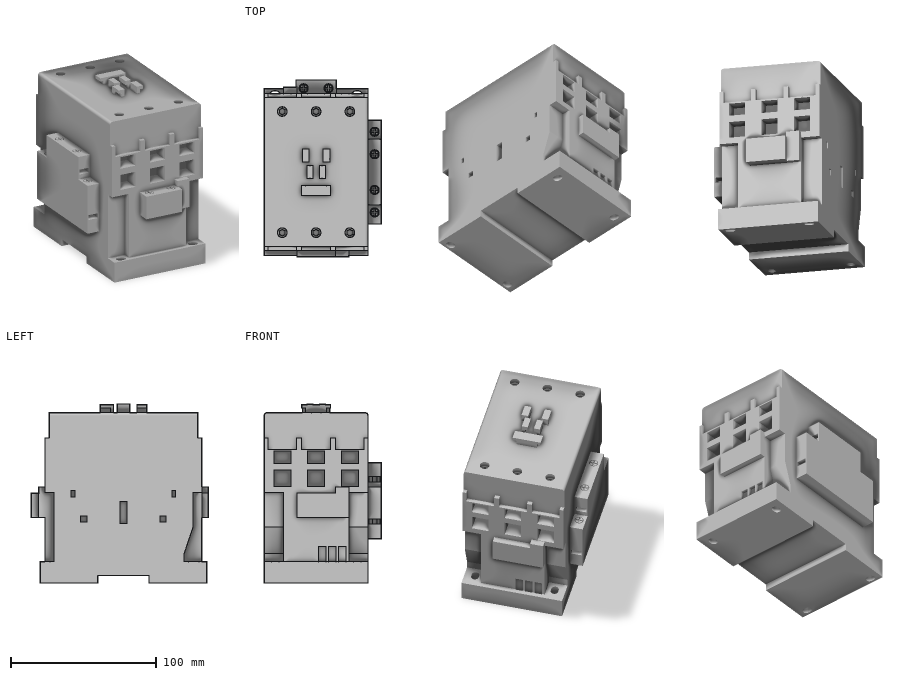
import cadquery as cq
body_width = 71.6
side_x = body_width / 2
base_length = 115.0
base_height = 14.8
body_length = 108.2
front_y = body_length / 2
cover_length = 102.5
cover_y = cover_length / 2
cover_top = 117.4
cover_fillet = 2.0

rail_width = 35.2
rail_depth = 5.1

ledge_top = 92.0
rib_top = 100.1
pole_pitch = 23.3
fence_gap = 19.8

recess_top = 62.4
recess_width = 13.2
recess_depth = 6.1
slope_top = 38.6
slope_bottom = 20.4
foot_recess_depth = 12.2

mount_slot_width = 5.2
mount_slot_length = 7.0
mount_x = 28.3
front_mount_y = 48.5
back_mount_y = 53.3

window_width = 11.7
upper_window = (82.4, 91.0)
lower_window = (66.6, 77.8)
window_depth = 12.0

terminal_y = 41.75
terminal_hole_diameter = 6.6
terminal_hole_depth = 3.75
socket_across_flats = 4.0
socket_depth = 2.0

coil_outer_x = side_x - recess_width
coil_inner_x = 13.3
coil_bottom = 45.1
coil_top = 61.9
coil_tab_top = 66.2
coil_plate_y = 58.5

coil_terminal_half_width = 14.0
coil_terminal_y = 63.6
coil_screw_x = 8.55
coil_screw_y = 57.8

overall_width = 80.8
aux_width = overall_width - body_width
aux_length = 71.8
aux_upper_length = 45.3
aux_bottom = 30.5
aux_step = 66.2
aux_top = 82.9
aux_lower_screw_y = 27.8
aux_upper_screw_y = 12.3
aux_window_width = 7.5
aux_window_height = 3.6
aux_upper_window_z = 71.5
aux_lower_window_z = 42.4
aux_shaft_diameter = 3.3

head_gap_diameter = 6.2
head_diameter = 5.2
head_gap_depth = 2.0
cross_length = 4.8
cross_width = 1.1
cross_depth = 1.0

pocket_depth = 5.0
upper_pocket_y = 34.7
upper_pocket_z = 61.5
upper_pocket_width = 2.6
lower_pocket_y = 27.3
lower_pocket_z = 44.2
lower_pocket_width = 4.3
pocket_height = 4.3
middle_pocket_z = 48.6
middle_pocket_width = 4.8
middle_pocket_height = 14.9

grip_centre_x = 11.2
grip_pitch = 6.85
grip_width = 5.3
grip_top = 25.0
grip_depth = 2.5
grip_reach = 0.5
grip_sink = 3.0
grip_bottom = base_height - grip_sink

piece_top = 123.0
overhang_bottom = 120.6
bridge_half_width = 10.0
bridge_stem_half_width = 7.3
bridge_front_y = -16.2
bridge_back_y = -9.3
slider_top = 123.55
slider_inner_x = 2.2
slider_stem_inner_x = 4.2
slider_outer_x = 6.4
slider_half_length = 4.4
catch_inner_x = 4.8
catch_stem_outer_x = 7.3
catch_outer_x = 9.5
catch_front_y = 6.8
catch_stem_back_y = 9.0
catch_back_y = 16.0


def box(x_range, y_range, z_range):
    """Axis-aligned block between the given limits."""
    (x0, x1), (y0, y1), (z0, z1) = (sorted(r) for r in (x_range, y_range, z_range))
    return cq.Workplane("XY").box(x1 - x0, y1 - y0, z1 - z0, centered=False).translate((x0, y0, z0))


def cylinder(diameter, x, y, z_range):
    """Upright cylinder between two heights."""
    bottom, top = z_range
    return cq.Workplane("XY").center(x, y).circle(diameter / 2).extrude(top - bottom).translate((0, 0, bottom))


def half_turn(shape):
    """Copy turned by 180 degrees about the Z axis."""
    return shape.rotate((0, 0, 0), (0, 0, 1), 180)


def make_housing():
    base = box((-side_x, side_x), (-base_length / 2, base_length / 2), (0, base_height))
    rail = box((-side_x, side_x), (-rail_width / 2, rail_width / 2), (0, rail_depth))
    body = box((-side_x, side_x), (-front_y, front_y), (base_height, ledge_top))
    cover = box((-side_x, side_x), (-cover_y, cover_y), (ledge_top, cover_top))
    cover = cover.edges("|Y and >Z").fillet(cover_fillet)
    return base.cut(rail).union(body).union(cover)


def make_fences():
    """Ribs that stand on the ledges in front of the cover, on both ends."""
    strip = box((-side_x, side_x), (-front_y, -cover_y), (ledge_top, rib_top))
    for pole in (-1, 0, 1):
        gap_centre = pole * pole_pitch
        gap_range = (gap_centre - fence_gap / 2, gap_centre + fence_gap / 2)
        strip = strip.cut(box(gap_range, (-front_y, -cover_y), (ledge_top, rib_top)))
    return strip.union(half_turn(strip))


def cut_corner_recesses(part):
    """Straight recesses at the back corners, and recesses that slope back above the feet at the front."""
    wall_y = front_y - recess_depth
    foot_y = front_y - foot_recess_depth
    front_profile = [
        (-front_y, base_height),
        (-foot_y, base_height),
        (-foot_y, slope_bottom),
        (-wall_y, slope_top),
        (-wall_y, recess_top),
        (-front_y, recess_top),
    ]
    for start_x in (-side_x, side_x - recess_width):
        x_range = (start_x, start_x + recess_width)
        front = cq.Workplane("YZ").polyline(front_profile).close().extrude(recess_width)
        back = box(x_range, (wall_y, front_y), (base_height, recess_top))
        part = part.cut(front.translate((start_x, 0, 0))).cut(back)
    return part


def cut_mounting_slots(part):
    """Rounded slots through the base: lengthwise at the front, crosswise at the back."""
    lengthwise = cq.Workplane("XY").slot2D(mount_slot_length, mount_slot_width, 90).extrude(base_height)
    crosswise = cq.Workplane("XY").slot2D(mount_slot_length, mount_slot_width, 0).extrude(base_height)
    for x in (-mount_x, mount_x):
        part = part.cut(lengthwise.translate((x, -front_mount_y, 0)))
        part = part.cut(crosswise.translate((x, back_mount_y, 0)))
    return part


def cut_terminals(part):
    """Wire windows in both ends and hexagon-socket screws in round holes under them."""
    for pole in (-1, 0, 1):
        x = pole * pole_pitch
        x_range = (x - window_width / 2, x + window_width / 2)
        for z_range in (upper_window, lower_window):
            window = box(x_range, (-front_y, -front_y + window_depth), z_range)
            part = part.cut(window).cut(half_turn(window))
        for y in (-terminal_y, terminal_y):
            head_top = cover_top - terminal_hole_depth
            part = part.cut(cylinder(terminal_hole_diameter, x, y, (head_top, cover_top)))
            socket = cq.Workplane("XY").polygon(6, socket_across_flats, circumscribed=True)
            socket = socket.extrude(socket_depth)
            part = part.cut(socket.translate((x, y, head_top - socket_depth)))
    return part


def make_coil_plate():
    """Plate on the front with a raised tab at its +X end."""
    y_range = (-coil_plate_y, -front_y)
    plate = box((-coil_inner_x, coil_outer_x), y_range, (coil_bottom, coil_top))
    tab = box((coil_inner_x, coil_outer_x), y_range, (coil_bottom, coil_tab_top))
    return plate.union(tab)


def cut_screw(part, x, y, top):
    """Annular gap around a cross-slotted screw head that lies flush with the surface."""
    gap_range = (top - head_gap_depth, top)
    gap = cylinder(head_gap_diameter, x, y, gap_range).cut(cylinder(head_diameter, x, y, gap_range))
    half_length = cross_length / 2
    half_width = cross_width / 2
    cross_range = (top - cross_depth, top)
    along_x = box((x - half_length, x + half_length), (y - half_width, y + half_width), cross_range)
    along_y = box((x - half_width, x + half_width), (y - half_length, y + half_length), cross_range)
    return part.cut(gap).cut(along_x).cut(along_y)


def make_coil_terminal():
    x_range = (-coil_terminal_half_width, coil_terminal_half_width)
    return box(x_range, (front_y, coil_terminal_y), (coil_bottom, coil_top))


def cut_coil_screws(part):
    for x in (-coil_screw_x, coil_screw_x):
        part = cut_screw(part, x, coil_screw_y, coil_top)
    return part


def make_aux_block():
    """Stepped contact block with two screws and one wire window at each end of each step."""
    x_range = (side_x, side_x + aux_width)
    centre_x = side_x + aux_width / 2
    window_range = (centre_x - aux_window_width / 2, centre_x + aux_window_width / 2)
    block = box(x_range, (-aux_length / 2, aux_length / 2), (aux_bottom, aux_step))
    block = block.union(box(x_range, (-aux_upper_length / 2, aux_upper_length / 2), (aux_step, aux_top)))
    steps = (
        (aux_length / 2, aux_lower_screw_y, aux_lower_window_z, aux_step),
        (aux_upper_length / 2, aux_upper_screw_y, aux_upper_window_z, aux_top),
    )
    for end_y, screw_y, window_z, top in steps:
        z_range = (window_z - aux_window_height / 2, window_z + aux_window_height / 2)
        for side in (-1, 1):
            window = box(window_range, (side * screw_y, side * end_y), z_range)
            shaft = cylinder(aux_shaft_diameter, centre_x, side * screw_y, z_range)
            block = block.cut(window.cut(shaft))
            block = cut_screw(block, centre_x, side * screw_y, top)
    return block


def cut_side_pockets(part):
    """Two pairs of small pockets and one tall pocket in the -X side."""
    pockets = [(0, middle_pocket_z, middle_pocket_width, middle_pocket_height)]
    for side in (-1, 1):
        pockets.append((side * upper_pocket_y, upper_pocket_z, upper_pocket_width, pocket_height))
        pockets.append((side * lower_pocket_y, lower_pocket_z, lower_pocket_width, pocket_height))
    for y, z, width, height in pockets:
        y_range = (y - width / 2, y + width / 2)
        z_range = (z - height / 2, z + height / 2)
        part = part.cut(box((-side_x, -side_x + pocket_depth), y_range, z_range))
    return part


def cut_grip_slots(part):
    """Row of three equal slots right of the middle of the front."""
    for index in (-1, 0, 1):
        x = grip_centre_x + index * grip_pitch
        x_range = (x - grip_width / 2, x + grip_width / 2)
        part = part.cut(box(x_range, (-front_y - grip_reach, -front_y + grip_depth), (grip_bottom, grip_top)))
    return part


def make_bridge():
    """Crossbar that overhangs its stem at both ends."""
    y_range = (bridge_front_y, bridge_back_y)
    bar = box((-bridge_half_width, bridge_half_width), y_range, (overhang_bottom, piece_top))
    stem = box((-bridge_stem_half_width, bridge_stem_half_width), y_range, (cover_top, overhang_bottom))
    return bar.union(stem)


def make_slider():
    """Slider at +X, whose head overhangs its stem towards the middle."""
    y_range = (-slider_half_length, slider_half_length)
    head = box((slider_inner_x, slider_outer_x), y_range, (overhang_bottom, slider_top))
    stem = box((slider_stem_inner_x, slider_outer_x), y_range, (cover_top, overhang_bottom))
    return head.union(stem)


def make_catch():
    """Catch at +X, undercut at its outer back corner."""
    catch = box((catch_inner_x, catch_outer_x), (catch_front_y, catch_back_y), (cover_top, piece_top))
    undercut_x = (catch_stem_outer_x, catch_outer_x)
    undercut_y = (catch_stem_back_y, catch_back_y)
    return catch.cut(box(undercut_x, undercut_y, (cover_top, overhang_bottom)))


def make_indicators():
    indicators = make_bridge()
    for piece in (make_slider(), make_catch()):
        indicators = indicators.union(piece).union(piece.mirror("YZ"))
    return indicators


coil_plate = make_coil_plate()
housing = make_housing().union(make_fences())
housing = cut_corner_recesses(housing)
housing = cut_mounting_slots(housing)
housing = cut_terminals(housing)
housing = cut_side_pockets(housing)
housing = cut_grip_slots(housing)
housing = housing.union(coil_plate).union(half_turn(coil_plate))
housing = cut_coil_screws(housing.union(make_coil_terminal()))
housing = housing.union(make_aux_block())
result = housing.union(make_indicators())